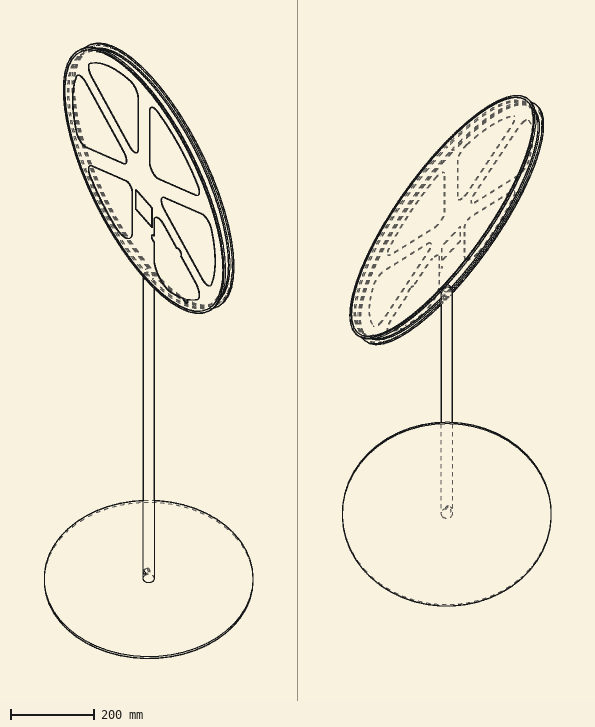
import cadquery as cq
import math

total_height = 1802.0
base_diameter = 500.0
base_thickness = 7.0

sign_radius = 350.0
sign_thickness = 29.0
flange_thickness = 4.5
groove_width = sign_thickness - 2 * flange_thickness
rim_radius = 339.0
channel_width = 13.0
channel_depth = 2.0
hub_z = total_height - sign_radius
front_y = -sign_thickness / 2
back_y = sign_thickness / 2

panel_radius = 344.0
panel_thickness = 2.0
front_panel_y = front_y + panel_thickness

sector_angle = 60
window_radius = 310.0
spoke_half_width = 25.0
window_tip_fillet = 25.0
window_outer_fillet = 29.0
side_window_angles = [i * sector_angle for i in range(4)]
lower_spoke_half_width = 50.0
lower_inner_fillet = 18.0
lower_pole_fillet = 54.0

plate_size = 70.0
plate_drop = 100.0

door_radius = 313.0
door_spoke_offset = 20.0
door_pole_offset = 47.0
door_thickness = 2.0
door_inner_fillet = 29.0
door_pole_fillet = 54.0
door_outer_fillet = 36.0
tab_radius = 10.0
pole_side_tab_drop = 165.0
spoke_side_tab_distance = 191.0
rim_side_tab_angle = -54.5

pole_diameter = 27.0
pole_gap = 4.0
pole_top = total_height - 2 * sign_radius - pole_gap
spigot_diameter = groove_width
cable_hole_diameter = 10.0
cable_hole_z = 38.0


def front_plane(y):
    """XZ plane at the given Y, centred on the hub; extrusions from it grow toward -Y."""
    return cq.Workplane("XZ", origin=(0, y, hub_z))


def polar(radius, angle):
    """Point at a radius and an angle in degrees from the hub."""
    return (radius * math.cos(math.radians(angle)), radius * math.sin(math.radians(angle)))


def disc(radius, start_y, thickness):
    """Disc around the hub axis that grows from start_y toward -Y."""
    return front_plane(start_y).circle(radius).extrude(thickness)


def side_window(angle):
    """Window between two spokes centred on the given angle."""
    half_angle = math.radians(sector_angle / 2)
    apex = spoke_half_width / math.sin(half_angle)
    reach = 2 * window_radius
    half_spread = reach * math.tan(half_angle)
    wedge = (
        front_plane(front_panel_y)
        .polyline([(apex, 0), (apex + reach, half_spread), (apex + reach, -half_spread)])
        .close()
        .extrude(panel_thickness)
    )
    window = wedge.intersect(disc(window_radius, front_panel_y, panel_thickness))
    window = window.edges("|Y").edges("<X").fillet(window_tip_fillet)
    window = window.edges("|Y").edges(">Z or <Z").fillet(window_outer_fillet)
    return window.rotate((0, 0, hub_z), (0, -1, hub_z), angle)


def lower_sector(radius, spoke_offset, pole_offset, fillets, start_y, thickness):
    """Sector on the lower right, between the pole side, a sloping spoke and an outer arc."""
    inner_fillet, pole_fillet, outer_fillet = fillets
    slope = math.radians(90 - sector_angle)

    def spoke_edge_z(x):
        return -(x * math.sin(slope) + spoke_offset) / math.cos(slope)

    reach = 2 * radius
    corners = [
        (pole_offset, spoke_edge_z(pole_offset)),
        (reach, spoke_edge_z(reach)),
        (reach, -reach),
        (pole_offset, -reach),
    ]
    wedge = front_plane(start_y).polyline(corners).close().extrude(thickness)
    sector = wedge.intersect(disc(radius, start_y, thickness))
    sector = sector.edges("|Y").edges(">Z").fillet(inner_fillet)
    sector = sector.edges("|Y").edges("<Z").fillet(pole_fillet)
    return sector.edges("|Y").edges(">X").fillet(outer_fillet)


def make_base():
    return cq.Workplane("XY").circle(base_diameter / 2).extrude(base_thickness)


def rim_groove(width, outer_radius, inner_radius):
    """Ring centred on the middle plane of the sign."""
    return front_plane(width / 2).circle(outer_radius).circle(inner_radius).extrude(width)


def make_frame():
    """Spool with a stepped groove around its rim and a shallow round recess in each face."""
    spool = disc(sign_radius, back_y, sign_thickness)
    groove = rim_groove(groove_width, sign_radius, rim_radius)
    channel = rim_groove(channel_width, rim_radius, rim_radius - channel_depth)
    front_recess = disc(panel_radius, front_panel_y, panel_thickness)
    back_recess = disc(panel_radius, back_y, panel_thickness)
    return spool.cut(groove).cut(channel).cut(front_recess).cut(back_recess)


def make_back_panel():
    return disc(panel_radius, back_y, panel_thickness)


def make_plate():
    return (
        front_plane(front_panel_y)
        .center(0, -plate_drop)
        .rect(plate_size, plate_size)
        .extrude(panel_thickness)
    )


def make_front_panel(plate):
    """Thin round panel with five windows and an opening for the square plate."""
    panel = disc(panel_radius, front_panel_y, panel_thickness)
    for angle in side_window_angles:
        panel = panel.cut(side_window(angle))
    fillets = (lower_inner_fillet, lower_pole_fillet, window_outer_fillet)
    lower_window = lower_sector(
        window_radius, spoke_half_width, lower_spoke_half_width, fillets, front_panel_y, panel_thickness
    )
    lower_left_window = lower_window.mirror("YZ")
    return panel.cut(lower_left_window).cut(plate)


def make_door():
    """Raised door with a small round tab on each of its three sides."""
    fillets = (door_inner_fillet, door_pole_fillet, door_outer_fillet)
    door = lower_sector(
        door_radius, door_spoke_offset, door_pole_offset, fillets, front_y, door_thickness
    )
    drop_below_spoke = math.degrees(math.asin(door_spoke_offset / spoke_side_tab_distance))
    spoke_side_angle = -sector_angle / 2 - drop_below_spoke
    tab_centers = [
        (door_pole_offset, -pole_side_tab_drop),
        polar(spoke_side_tab_distance, spoke_side_angle),
        polar(door_radius, rim_side_tab_angle),
    ]
    tabs = front_plane(front_y).pushPoints(tab_centers).circle(tab_radius).extrude(door_thickness)
    return door.union(tabs)


def make_pole(frame):
    """Round pole with a spigot that passes between the flanges up to the rim of the frame."""
    pole = (
        cq.Workplane("XY", origin=(0, 0, base_thickness))
        .circle(pole_diameter / 2)
        .extrude(pole_top - base_thickness)
    )
    spigot = (
        cq.Workplane("XY", origin=(0, 0, pole_top))
        .circle(spigot_diameter / 2)
        .extrude(hub_z - pole_top)
        .cut(frame)
    )
    cable_hole = (
        cq.Workplane("XZ", origin=(0, 0, cable_hole_z))
        .circle(cable_hole_diameter / 2)
        .extrude(pole_diameter / 2)
    )
    return pole.union(spigot).cut(cable_hole)


base = make_base()
frame = make_frame()
pole = make_pole(frame)
plate = make_plate()
front_panel = make_front_panel(plate)
back_panel = make_back_panel()
door = make_door()

bodies = [base, pole, frame, front_panel, back_panel, plate, door]
result = cq.Compound.makeCompound([body.val() for body in bodies])